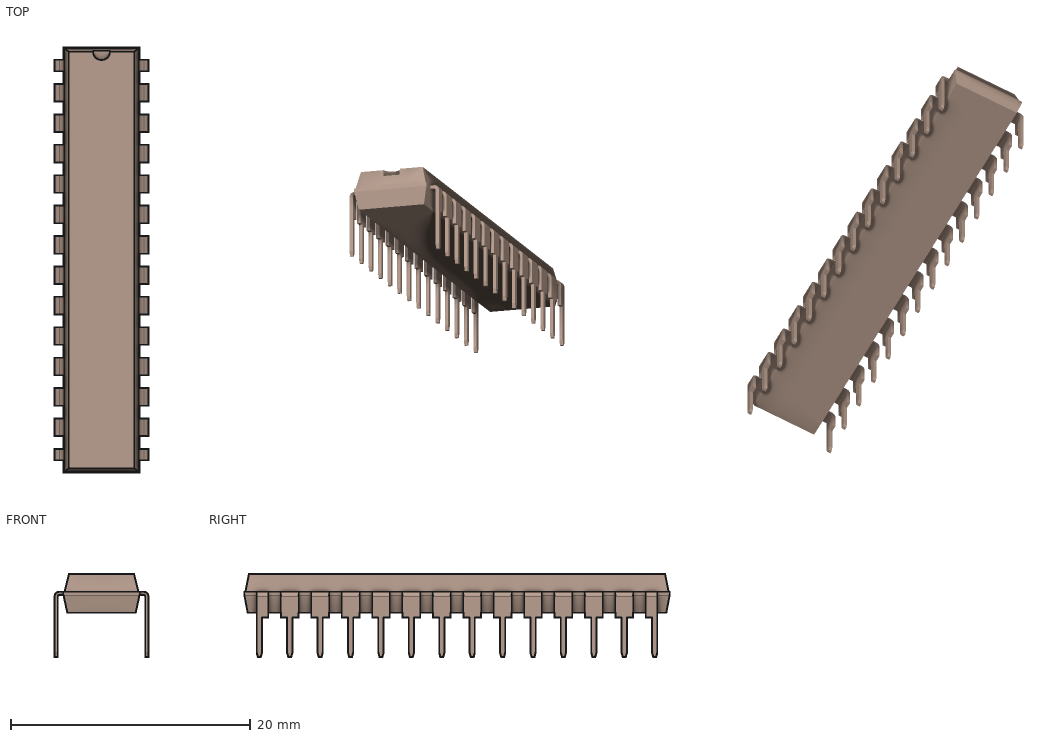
import cadquery as cq


body_length = 35.55
body_width = 6.35
band_height = 0.3
top_height = 1.5
bottom_height = 1.5
ledge_width = 0.09
top_side_inset = 0.45
top_end_inset = 0.4
bottom_side_inset = 0.32
bottom_end_inset = 0.3

notch_radius = 0.7
notch_depth = 0.55
notch_center_inset = 0.35

overall_height = 6.97
row_width = 7.85
leads_per_row = 14
row_length = 33.05
bend_radius = 0.4
lead_embed = 0.7
shoulder_width = 1.5
shoulder_drop = 3.65
pin_width = 0.45
tip_width = 0.25
tip_height = 0.4

lead_thickness = band_height
lead_pitch = row_length / (leads_per_row - 1)
top_z = band_height + top_height
shoulder_z = top_z - shoulder_drop
tip_z = top_z - overall_height
row_x = row_width / 2


def body_half(start_z, height, base_inset, side_inset, end_inset):
    """Half of the body narrowing from the band to its flat face; a negative height goes down."""
    return (
        cq.Workplane("XY", origin=(0, 0, start_z))
        .rect(body_width - 2 * base_inset, body_length - 2 * base_inset)
        .workplane(offset=height)
        .rect(body_width - 2 * side_inset, body_length - 2 * end_inset)
        .loft(ruled=True)
    )


def make_body():
    band = cq.Workplane("XY").rect(body_width, body_length).extrude(band_height)
    upper = body_half(band_height, top_height, ledge_width, top_side_inset, top_end_inset)
    lower = body_half(0, -bottom_height, 0, bottom_side_inset, bottom_end_inset)
    notch = (
        cq.Workplane("XY", origin=(0, body_length / 2 - notch_center_inset, top_z - notch_depth))
        .circle(notch_radius)
        .extrude(notch_depth)
    )
    return band.union(upper).union(lower).cut(notch)


def bent_strip():
    """L-shaped sheet that holds all the leads of the +X row."""
    inner_x = body_width / 2 - lead_embed
    bend_z = band_height - bend_radius
    bend_x = row_x - bend_radius
    strip_length = row_length + shoulder_width
    return (
        cq.Workplane("XZ")
        .moveTo(inner_x, band_height)
        .lineTo(bend_x, band_height)
        .radiusArc((row_x, bend_z), bend_radius)
        .lineTo(row_x, tip_z)
        .lineTo(row_x - lead_thickness, tip_z)
        .lineTo(row_x - lead_thickness, bend_z)
        .radiusArc((bend_x, band_height - lead_thickness), lead_thickness - bend_radius)
        .lineTo(inner_x, band_height - lead_thickness)
        .close()
        .extrude(strip_length / 2, both=True)
    )


def pin_profile(center_y):
    """Prism along X with the outline of one narrow pin and its tapered tip."""
    half_pin = pin_width / 2
    half_tip = tip_width / 2
    outline = [
        (center_y - half_pin, band_height),
        (center_y - half_pin, tip_z + tip_height),
        (center_y - half_tip, tip_z),
        (center_y + half_tip, tip_z),
        (center_y + half_pin, tip_z + tip_height),
        (center_y + half_pin, band_height),
    ]
    return cq.Workplane("YZ").polyline(outline).close().extrude(row_x)


def shoulder_profile(start_y, end_y):
    """Prism along X with the outline of one wide shoulder."""
    height = band_height - shoulder_z
    return (
        cq.Workplane("XY", origin=(0, start_y, shoulder_z))
        .box(row_x, end_y - start_y, height, centered=False)
    )


def make_lead_row():
    """All leads of the +X row; the end shoulders stop flush with the outer side of their pins."""
    row_limit = (row_length + pin_width) / 2
    profiles = cq.Workplane("XY")
    for index in range(leads_per_row):
        center_y = index * lead_pitch - row_length / 2
        start_y = max(center_y - shoulder_width / 2, -row_limit)
        end_y = min(center_y + shoulder_width / 2, row_limit)
        lead_profile = pin_profile(center_y).union(shoulder_profile(start_y, end_y))
        profiles = profiles.add(lead_profile)
    return bent_strip().intersect(profiles.combine())


lead_row = make_lead_row()
result = make_body().union(lead_row).union(lead_row.mirror("YZ"))